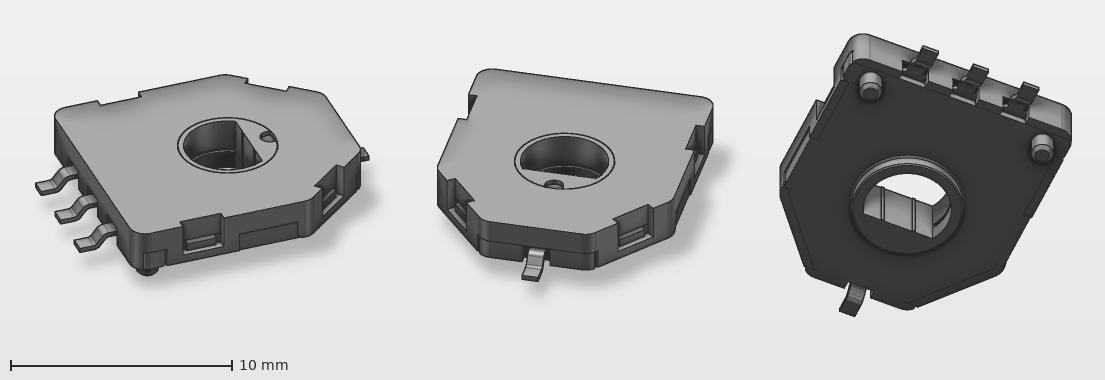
import cadquery as cq
import math

HALF_WIDTH = 5.5
BACK_Y = 5.56
FRONT_Y = -6.53
BACK_HALF_WIDTH = 2.49
SHOULDER_Y = 1.94
CORNER_RADIUS = 0.75
HEIGHT = 1.95
BASE_HEIGHT = 0.9
WALL = 0.4
REACH = 0.45

WINDOW_WIDTH = 1.98
WINDOW_SILL = 0.4
HOOK_WIDTH = 1.4
HOOK_DEPTH = 0.13
SIDE_WINDOW_Y = -3.23
SLANT_WINDOW_DISTANCE = 2.62

SIDE_LUG_BACK_Y = 1.34
SIDE_LUG_FRONT_Y = -1.49
LUG_FLARE = 0.18
SIDE_LUG_SETBACK = 0.06
PEG_LUG_BACK_Y = -4.99
PEG_LUG_FRONT_Y = -6.11
PEG_LUG_RADIUS = 0.27
PEG_LUG_SETBACK = 0.01
BACK_LUG_HALF_WIDTH = 2.68
BACK_SLOT_GAP = 0.12

PEG_DIAMETER = 1.0
PEG_LENGTH = 1.0
PEG_CHAMFER = 0.18
PEG_X = 4.25
PEG_Y = -5.48

ROTOR_HOLE_DIAMETER = 4.55
ROTOR_DIAMETER = 4.48
FLANGE_DIAMETER = 5.0
FLANGE_TOP_DIAMETER = 5.2
FLANGE_HEIGHT = 0.58
FLANGE_FLARE = 0.07
FLANGE_CHAMFER = 0.06
BORE_DIAMETER = 4.0
BORE_FLAT_Y = 1.03
RIB_X = 0.77
RIB_WIDTH = 0.15
RIB_HEIGHT = 0.05
GROOVE_DIAMETER = 4.29
GROOVE_Z = 0.28
GROOVE_HEIGHT = 0.21
MARK_RADIUS = 0.43
MARK_CENTER_Y = 2.03
MARK_DEPTH = 0.22

PITCH = 2.49
NOTCH_WIDTH = 1.3
LEAD_WIDTH = 0.75
LEAD_THICKNESS = 0.22
LEAD_Z = 0.47
FOOT_Z = -0.067
BEND_RADIUS = 0.31
BEND_ANGLE = math.radians(50)
LEAD_REACH = 1.4
LEAD_TAIL = 1.34
FRONT_TOE_Y = -8.21
BACK_TOE_Y = 6.69
TAIL_WIDTH = 1.22
TAPER_LENGTH = 0.12
TAPER_END = 0.37


def outline(height):
    """Solid with the full housing outline, standing on Z = 0."""
    points = [
        (-HALF_WIDTH, FRONT_Y),
        (HALF_WIDTH, FRONT_Y),
        (HALF_WIDTH, SHOULDER_Y),
        (BACK_HALF_WIDTH, BACK_Y),
        (-BACK_HALF_WIDTH, BACK_Y),
        (-HALF_WIDTH, SHOULDER_Y),
    ]
    return cq.Workplane("XY").polyline(points).close().extrude(height).edges("|Z").fillet(CORNER_RADIUS)


def base_core():
    """Base block inside the cover skirt."""
    return outline(BASE_HEIGHT).faces("<Z").wires().toPending().offset2D(-WALL).extrude(BASE_HEIGHT, combine=False)


def block(x_min, x_max, y_min, y_max, z_min, z_max):
    """Box between the given limits."""
    size = (x_max - x_min, y_max - y_min, z_max - z_min)
    return cq.Workplane("XY").box(*size, centered=False).translate((x_min, y_min, z_min))


def with_mirror(body):
    """A body together with its copy on the other side of the YZ plane."""
    return body.union(body.mirror("YZ"))


def at_snap_sites(body):
    """Copies of a body, modelled with its wall face at X = 0 facing +X, at the four snap sites."""
    slant = math.atan2(BACK_Y - SHOULDER_Y, HALF_WIDTH - BACK_HALF_WIDTH)
    slant_x = BACK_HALF_WIDTH + SLANT_WINDOW_DISTANCE * math.cos(slant)
    slant_y = BACK_Y - SLANT_WINDOW_DISTANCE * math.sin(slant)
    facing = 90 - math.degrees(slant)
    side_copy = body.translate((HALF_WIDTH, SIDE_WINDOW_Y, 0))
    slant_copy = body.rotate((0, 0, 0), (0, 0, 1), facing).translate((slant_x, slant_y, 0))
    return with_mirror(side_copy.union(slant_copy))


def snap_windows():
    """Recesses that run from the top face down through the skirt to the sill."""
    half = WINDOW_WIDTH / 2
    return at_snap_sites(block(-WALL, REACH, -half, half, WINDOW_SILL, HEIGHT))


def snap_hooks():
    """Hooks with a 45 degree sloped top, standing out of the base wall."""
    root = -WALL - HOOK_DEPTH
    tip = -WALL + HOOK_DEPTH
    profile = [
        (root, WINDOW_SILL),
        (tip, WINDOW_SILL),
        (tip, BASE_HEIGHT - HOOK_DEPTH),
        (-WALL, BASE_HEIGHT),
        (root, BASE_HEIGHT),
    ]
    hook = cq.Workplane("XZ").polyline(profile).close().extrude(HOOK_WIDTH / 2, both=True)
    return at_snap_sites(hook)


def side_blocks(outer_x):
    """Long blocks in the side walls, flared at the bottom of the back end."""
    profile = [
        (SIDE_LUG_FRONT_Y, BASE_HEIGHT),
        (SIDE_LUG_FRONT_Y, 0),
        (SIDE_LUG_BACK_Y + LUG_FLARE, 0),
        (SIDE_LUG_BACK_Y, LUG_FLARE),
        (SIDE_LUG_BACK_Y, BASE_HEIGHT),
    ]
    inner_x = HALF_WIDTH - 2 * WALL
    side_block = cq.Workplane("YZ").polyline(profile).close().extrude(outer_x - inner_x)
    return with_mirror(side_block.translate((inner_x, 0, 0)))


def peg_blocks(outer_x):
    """Blocks from the pegs out to the given distance from the middle."""
    return with_mirror(block(PEG_X, outer_x, PEG_LUG_FRONT_Y, PEG_LUG_BACK_Y, 0, BASE_HEIGHT))


def peg_lugs():
    """Lugs in the peg slots, with rounded outer edges."""
    return peg_blocks(HALF_WIDTH - PEG_LUG_SETBACK).edges("|Z and (<X or >X)").fillet(PEG_LUG_RADIUS)


def back_block(half_width):
    """Block in the back skirt; the lug and its slightly wider slot."""
    return block(-half_width, half_width, BACK_Y - WALL, BACK_Y, 0, BASE_HEIGHT)


def terminal_notches():
    """Openings in the front and back skirt around the leads."""
    half = NOTCH_WIDTH / 2
    notches = block(-half, half, BACK_Y - WALL, BACK_Y, 0, BASE_HEIGHT)
    for x in (-PITCH, 0, PITCH):
        notches = notches.union(block(x - half, x + half, FRONT_Y, FRONT_Y + WALL, 0, BASE_HEIGHT))
    return notches


def rotor_hole():
    """Round opening through cover and base."""
    return cq.Workplane("XY").circle(ROTOR_HOLE_DIAMETER / 2).extrude(HEIGHT)


def pegs():
    """Chamfered locating pegs under the base."""
    peg = cq.Workplane("XY").circle(PEG_DIAMETER / 2).extrude(-PEG_LENGTH).faces("<Z").chamfer(PEG_CHAMFER)
    return with_mirror(peg.translate((PEG_X, PEG_Y, 0)))


def make_terminal():
    """Gull wing lead toward -Y: the first bend starts at Y = 0, the tail lies on the +Y side."""
    sine = math.sin(BEND_ANGLE)
    cosine = math.cos(BEND_ANGLE)
    half_sine = math.sin(BEND_ANGLE / 2)
    half_cosine = math.cos(BEND_ANGLE / 2)
    bend_drop = BEND_RADIUS * (1 - cosine)
    slope_drop = LEAD_Z - FOOT_Z - 2 * bend_drop
    slope_start = -BEND_RADIUS * sine
    slope_end = slope_start - slope_drop / math.tan(BEND_ANGLE)
    foot_start = slope_end - BEND_RADIUS * sine
    first_center_z = LEAD_Z - BEND_RADIUS
    second_center_z = FOOT_Z + BEND_RADIUS
    first_middle = (-BEND_RADIUS * half_sine, first_center_z + BEND_RADIUS * half_cosine)
    second_middle = (foot_start + BEND_RADIUS * half_sine, second_center_z - BEND_RADIUS * half_cosine)
    path = (
        cq.Workplane("YZ")
        .moveTo(LEAD_TAIL, LEAD_Z)
        .lineTo(0, LEAD_Z)
        .threePointArc(first_middle, (slope_start, LEAD_Z - bend_drop))
        .lineTo(slope_end, FOOT_Z + bend_drop)
        .threePointArc(second_middle, (foot_start, FOOT_Z))
        .lineTo(-LEAD_REACH, FOOT_Z)
    )
    section = cq.Workplane("XZ", origin=(0, LEAD_TAIL, LEAD_Z)).rect(LEAD_WIDTH, LEAD_THICKNESS)
    lead = section.sweep(path)
    taper_start = TAPER_END + TAPER_LENGTH
    tail_points = [
        (-LEAD_WIDTH / 2, TAPER_END),
        (LEAD_WIDTH / 2, TAPER_END),
        (TAIL_WIDTH / 2, taper_start),
        (TAIL_WIDTH / 2, LEAD_TAIL),
        (-TAIL_WIDTH / 2, LEAD_TAIL),
        (-TAIL_WIDTH / 2, taper_start),
    ]
    tail_bottom = LEAD_Z - LEAD_THICKNESS / 2
    tail = cq.Workplane("XY", origin=(0, 0, tail_bottom)).polyline(tail_points).close().extrude(LEAD_THICKNESS)
    return lead.union(tail)


def make_terminals():
    """Three leads at the front and one at the back."""
    terminal = make_terminal()
    front = [terminal.translate((x, FRONT_TOE_Y + LEAD_REACH, 0)) for x in (-PITCH, 0, PITCH)]
    back = terminal.rotate((0, 0, 0), (0, 0, 1), 180).translate((0, BACK_TOE_Y - LEAD_REACH, 0))
    return front + [back]


def make_cover():
    """Cover with a pocket for the base."""
    cover = outline(HEIGHT).cut(base_core()).cut(rotor_hole()).cut(snap_windows())
    cover = cover.cut(side_blocks(HALF_WIDTH)).cut(peg_blocks(HALF_WIDTH)).cut(terminal_notches())
    return cover.cut(back_block(BACK_LUG_HALF_WIDTH + BACK_SLOT_GAP))


def make_base(leads):
    """Base with lugs, hooks and pegs, holding the leads in matching recesses."""
    base = base_core().union(side_blocks(HALF_WIDTH - SIDE_LUG_SETBACK)).union(peg_lugs()).union(back_block(BACK_LUG_HALF_WIDTH))
    base = base.intersect(outline(BASE_HEIGHT)).cut(terminal_notches())
    base = base.union(snap_hooks()).union(pegs()).cut(rotor_hole())
    for lead in leads:
        base = base.cut(lead)
    return base


def d_profile(diameter, z_min, height):
    """Cylinder with a flat at the back."""
    radius = diameter / 2
    cylinder = cq.Workplane("XY", origin=(0, 0, z_min)).circle(radius).extrude(height)
    return cylinder.intersect(block(-radius, radius, -radius, BORE_FLAT_Y, z_min, z_min + height))


def make_rotor():
    """Rotor shaft with a bottom flange, a D-shaped ribbed bore and a position mark on top."""
    shaft = cq.Workplane("XY").circle(ROTOR_DIAMETER / 2).extrude(HEIGHT)
    flange_radius = FLANGE_DIAMETER / 2
    flange_profile = [
        (0, 0),
        (FLANGE_TOP_DIAMETER / 2, 0),
        (flange_radius, -FLANGE_FLARE),
        (flange_radius, FLANGE_CHAMFER - FLANGE_HEIGHT),
        (flange_radius - FLANGE_CHAMFER, -FLANGE_HEIGHT),
        (0, -FLANGE_HEIGHT),
    ]
    flange = cq.Workplane("XZ").polyline(flange_profile).close().revolve(360, (0, 0, 0), (0, 1, 0))
    bore = d_profile(BORE_DIAMETER, -FLANGE_HEIGHT, FLANGE_HEIGHT + HEIGHT)
    groove = d_profile(GROOVE_DIAMETER, GROOVE_Z, GROOVE_HEIGHT)
    rib = block(
        RIB_X - RIB_WIDTH / 2, RIB_X + RIB_WIDTH / 2,
        BORE_FLAT_Y - RIB_HEIGHT, BORE_FLAT_Y + RIB_HEIGHT,
        -FLANGE_HEIGHT, HEIGHT,
    )
    mark_floor = HEIGHT - MARK_DEPTH
    mark = cq.Workplane("XY", origin=(0, MARK_CENTER_Y, mark_floor)).circle(MARK_RADIUS).extrude(MARK_DEPTH)
    mark_slot = block(-MARK_RADIUS, MARK_RADIUS, MARK_CENTER_Y, ROTOR_DIAMETER / 2, mark_floor, HEIGHT)
    return shaft.union(flange).cut(bore).cut(groove).union(with_mirror(rib)).cut(mark).cut(mark_slot)


terminals = make_terminals()
cover = make_cover()
base = make_base(terminals)
rotor = make_rotor()

bodies = [cover, base, rotor, *terminals]
result = cq.Compound.makeCompound([body.solids().val() for body in bodies])